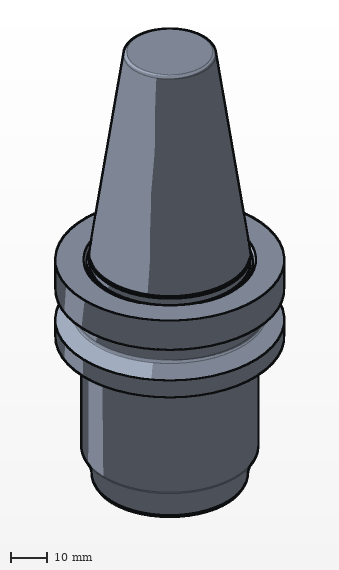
import cadquery as cq
import math

total_height = 137.9
taper_length = 65.4
gauge_z = total_height - taper_length
flange_top_z = gauge_z - 2.0
flange_bottom_z = 45.5
upper_rim_z = 61.0
lower_rim_z = 51.0
body_bottom_z = 9.9
nose_arc_bottom_z = 1.0

gauge_radius = 22.2
taper_slope = 7 / 48
taper_tip_radius = gauge_radius - taper_length * taper_slope
tip_fillet = 1.0
undercut_radius = 21.8
undercut_bottom_z = gauge_z - 0.8
flange_radius = 31.51
groove_radius = 26.5
groove_wall_angle = 30
groove_fillet = 1.0
body_radius = 24.4
body_edge_fillet = 1.0
edge_margin = 0.1
nose_radius = 21.5
nose_end_radius = 21.0
nose_arc_sag = 0.7

relief_radius = 23.7
relief_depth = 0.8
relief_chamfer = 0.8


def revolve_outline(outline):
    return outline.close().revolve(360, (0, 0, 0), (0, 1, 0))


def make_taper():
    """Tapered shank with a short undercut neck that enters the flange."""
    outline = (
        cq.Workplane("XZ")
        .moveTo(0, flange_top_z - relief_depth)
        .lineTo(gauge_radius, flange_top_z - relief_depth)
        .lineTo(gauge_radius, undercut_bottom_z)
        .lineTo(undercut_radius, undercut_bottom_z)
        .lineTo(gauge_radius, gauge_z)
        .lineTo(taper_tip_radius, total_height)
        .lineTo(0, total_height)
    )
    return revolve_outline(outline).faces(">Z").edges().fillet(tip_fillet)


def make_flange():
    """Flange with a V groove around its rim and a relief ring in its top face."""
    wall_height = (flange_radius - groove_radius) * math.tan(math.radians(groove_wall_angle))
    outline = (
        cq.Workplane("XZ")
        .moveTo(0, flange_bottom_z)
        .lineTo(flange_radius, flange_bottom_z)
        .lineTo(flange_radius, lower_rim_z)
        .lineTo(groove_radius, lower_rim_z + wall_height)
        .lineTo(groove_radius, upper_rim_z - wall_height)
        .lineTo(flange_radius, upper_rim_z)
        .lineTo(flange_radius, flange_top_z)
        .lineTo(relief_radius, flange_top_z)
        .lineTo(relief_radius - relief_chamfer, flange_top_z - relief_depth)
        .lineTo(0, flange_top_z - relief_depth)
    )
    flange = revolve_outline(outline)
    groove_corners = cq.selectors.BoxSelector(
        (-flange_radius, -flange_radius, lower_rim_z + wall_height / 2),
        (flange_radius, flange_radius, upper_rim_z - wall_height / 2),
        boundingbox=True,
    )
    return flange.edges(groove_corners).edges("%CIRCLE").fillet(groove_fillet)


def make_body():
    """Cylindrical body that necks in to a concave nose."""
    chord_dr = nose_radius - body_radius
    chord_dz = nose_arc_bottom_z - body_bottom_z
    chord = math.hypot(chord_dr, chord_dz)
    arc_middle = (
        (body_radius + nose_radius) / 2 + nose_arc_sag * chord_dz / chord,
        (body_bottom_z + nose_arc_bottom_z) / 2 - nose_arc_sag * chord_dr / chord,
    )
    outline = (
        cq.Workplane("XZ")
        .moveTo(0, flange_bottom_z)
        .lineTo(body_radius, flange_bottom_z)
        .lineTo(body_radius, body_bottom_z)
        .threePointArc(arc_middle, (nose_radius, nose_arc_bottom_z))
        .lineTo(nose_end_radius, 0)
        .lineTo(0, 0)
    )
    body_edge = cq.selectors.BoxSelector(
        (-flange_radius, -flange_radius, body_bottom_z - edge_margin),
        (flange_radius, flange_radius, body_bottom_z + edge_margin),
        boundingbox=True,
    )
    return revolve_outline(outline).edges(body_edge).fillet(body_edge_fillet)


result = make_taper().union(make_flange()).union(make_body())